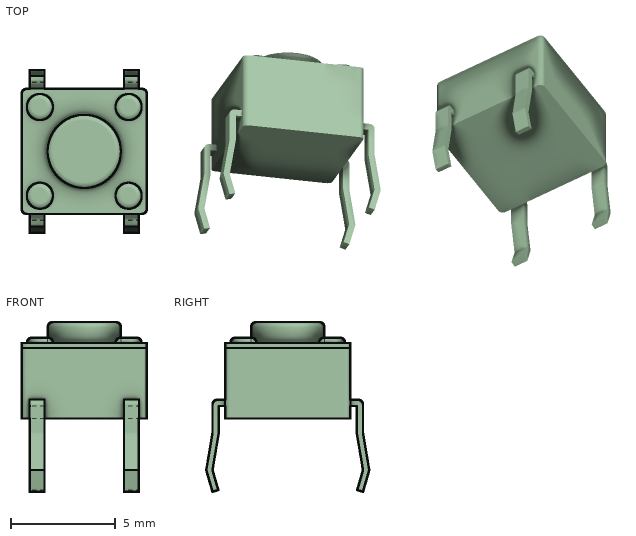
import cadquery as cq
import math

body_side = 5.99
corner_radius = 0.25
housing_height = 3.37
cover_thickness = 0.25
cover_top = housing_height + cover_thickness

rivet_diameter = 1.25
rivet_height = 0.25
rivet_offset = 2.12
rivet_edge_radius = 0.249

button_diameter = 3.5
button_height = 1.0
button_edge_radius = 0.25

leg_width = 0.71
leg_offset_x = 2.25
leg_thickness = 0.31
leg_top = 0.91
leg_reach = 3.6
leg_bend_radius = 0.25
kink_reach = 3.9
upper_kink_z = -0.68
lower_kink_z = -2.46
leg_tip_z = -3.5


def rounded_block(height, base_z):
    """Square block with rounded upright edges."""
    block = cq.Workplane("XY").workplane(offset=base_z).rect(body_side, body_side).extrude(height)
    return block.edges("|Z").fillet(corner_radius)


def make_housing():
    return rounded_block(housing_height, 0)


def make_cover():
    """Cover plate with a rounded rivet head near each corner."""
    plate = rounded_block(cover_thickness, housing_height)
    rivets = (
        cq.Workplane("XY")
        .workplane(offset=cover_top)
        .rect(2 * rivet_offset, 2 * rivet_offset, forConstruction=True)
        .vertices()
        .circle(rivet_diameter / 2)
        .extrude(rivet_height)
        .faces(">Z")
        .edges()
        .fillet(rivet_edge_radius)
    )
    return plate.union(rivets)


def make_button():
    button = cq.Workplane("XY").workplane(offset=cover_top).circle(button_diameter / 2).extrude(button_height)
    return button.faces(">Z").edges().fillet(button_edge_radius)


def make_leg(center_x):
    """Leg on the +Y side: side profile in the YZ plane, extruded across the leg width."""
    housing_face = body_side / 2
    inner_reach = leg_reach - leg_thickness
    inner_kink_reach = kink_reach - leg_thickness

    tip_angle = math.atan2(kink_reach - leg_reach, lower_kink_z - leg_tip_z)
    tip_length = leg_thickness * math.cos(tip_angle)
    inner_tip_y = leg_reach - tip_length * math.cos(tip_angle)
    inner_tip_z = leg_tip_z + tip_length * math.sin(tip_angle)

    profile = (
        cq.Workplane("YZ")
        .workplane(offset=center_x - leg_width / 2)
        .moveTo(housing_face, leg_top)
        .lineTo(leg_reach - leg_bend_radius, leg_top)
        .radiusArc((leg_reach, leg_top - leg_bend_radius), leg_bend_radius)
        .lineTo(leg_reach, upper_kink_z)
        .lineTo(kink_reach, lower_kink_z)
        .lineTo(leg_reach, leg_tip_z)
        .lineTo(inner_tip_y, inner_tip_z)
        .lineTo(inner_kink_reach, lower_kink_z)
        .lineTo(inner_reach, upper_kink_z)
        .lineTo(inner_reach, leg_top - leg_thickness)
        .lineTo(housing_face, leg_top - leg_thickness)
        .close()
    )
    return profile.extrude(leg_width)


housing = make_housing()
cover = make_cover()
button = make_button()

legs = []
for center_x in (-leg_offset_x, leg_offset_x):
    back_leg = make_leg(center_x)
    front_leg = back_leg.mirror("XZ")
    legs.append(back_leg.val())
    legs.append(front_leg.val())

result = cq.Compound.makeCompound([housing.val(), cover.val(), button.val(), *legs])